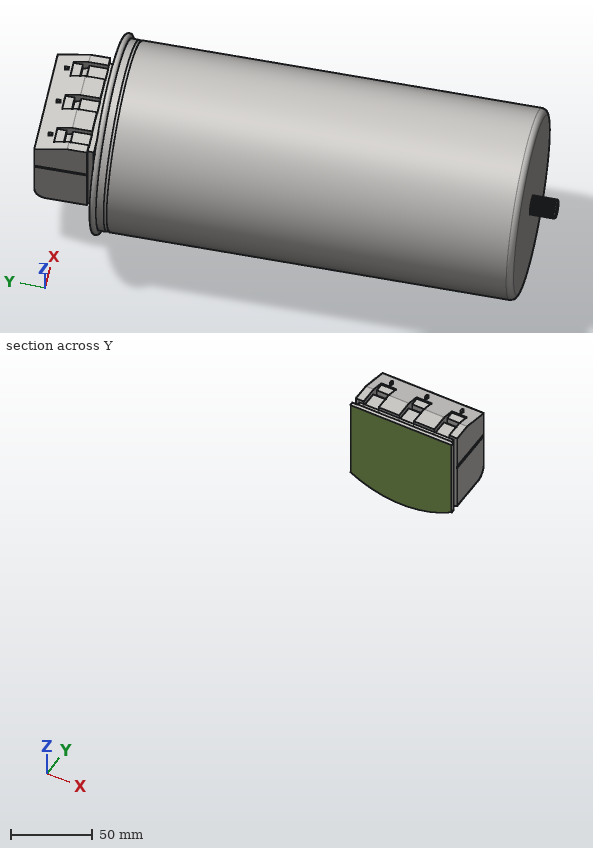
import cadquery as cq
import math


CAN_DIAMETER = 120.0
CAN_LENGTH = 265.0
BOTTOM_FILLET = 4.0
RIM_DIAMETER = 126.0
RIM_THICKNESS = 4.0
GROOVE_WIDTH = 2.0
GROOVE_DEPTH = 1.0
GROOVE_TO_RIM = 4.8

STUD_LENGTH = 16.0
THREAD_DIAMETER = 12.2
ROOT_DIAMETER = 10.3
THREAD_TURNS = 17
TIP_TAPER = 1.0

OVERALL_LENGTH = 321.0
BLOCK_WIDTH = 72.0
BLOCK_TOP = 29.0
SIDE_BOTTOM = -28.5
BLOCK_BOTTOM = -39.0
FLANGE_HEIGHT = 2.5
NECK_HEIGHT = 4.2
NECK_SIDE_INSET = 2.5
NECK_TOP_INSET = 2.2
SLOPE_LENGTH = 20.5
SLOPE_DROP = 5.8
CAP_FILLET = 7.0
SIDE_GROOVE_WIDTH = 1.0
SIDE_GROOVE_DEPTH = 0.3
SIDE_GROOVE_Z = 4.2
BOTTOM_GROOVE_WIDTH = 1.5
BOTTOM_GROOVE_X = 13.8
BOTTOM_GROOVE_FLOOR = -37.0

WINDOW_COUNT = 3
WINDOW_PITCH = 25.0
WINDOW_WIDTH = 10.5
WINDOW_TO_END = 11.2
WINDOW_FLOOR = 25.0
LEDGE_LENGTH = 5.8
CHANNEL_RADIUS = 4.2
PIP_WIDTH = 1.3
PIP_LENGTH = 2.5
PIP_TO_END = 6.7
PIP_TOP = 27.0

BLOCK_END = OVERALL_LENGTH - STUD_LENGTH
FLANGE_END = CAN_LENGTH + FLANGE_HEIGHT
CAP_START = FLANGE_END + NECK_HEIGHT
CAP_LENGTH = BLOCK_END - CAP_START


def y_slice(y):
    """Workplane at a given Y whose local axes are X and Z; a negative extrusion goes towards +Y."""
    return cq.Workplane("XZ", origin=(0, y, 0))


def make_can_shell():
    """Can with a rounded bottom edge, a bead groove and a rounded rim."""
    radius = CAN_DIAMETER / 2
    rim_radius = RIM_THICKNESS / 2
    rim_center = RIM_DIAMETER / 2 - rim_radius
    rim_start = CAN_LENGTH - RIM_THICKNESS
    groove_end = rim_start - GROOVE_TO_RIM
    groove_start = groove_end - GROOVE_WIDTH
    profile = (
        cq.Workplane("XY")
        .lineTo(radius - BOTTOM_FILLET, 0)
        .radiusArc((radius, BOTTOM_FILLET), -BOTTOM_FILLET)
        .lineTo(radius, groove_start)
        .threePointArc((radius - GROOVE_DEPTH, groove_start + GROOVE_WIDTH / 2), (radius, groove_end))
        .lineTo(radius, rim_start)
        .lineTo(rim_center, rim_start)
        .threePointArc((RIM_DIAMETER / 2, rim_start + rim_radius), (rim_center, CAN_LENGTH))
        .lineTo(0, CAN_LENGTH)
        .close()
    )
    return profile.revolve(360, (0, 0, 0), (0, 1, 0))


def make_stud():
    """Threaded stud, its thread a stack of V-shaped rings ending in a tapered tip."""
    crest = THREAD_DIAMETER / 2
    root = ROOT_DIAMETER / 2
    pitch = (STUD_LENGTH - TIP_TAPER) / THREAD_TURNS
    profile = cq.Workplane("XY").lineTo(crest, 0)
    for turn in range(THREAD_TURNS):
        crest_y = -(turn + 1) * pitch
        profile = profile.lineTo(root, crest_y + pitch / 2).lineTo(crest, crest_y)
    profile = profile.lineTo(root, -STUD_LENGTH).lineTo(0, -STUD_LENGTH).close()
    return profile.revolve(360, (0, 0, 0), (0, 1, 0))


def make_can():
    """Can body with its stud, a single solid."""
    return make_can_shell().union(make_stud())


def block_section(start, length, side_inset=0.0, top_inset=0.0):
    """Slice of the block: straight sides, flat top and an arched underside shared by all slices."""
    half = BLOCK_WIDTH / 2
    sag = SIDE_BOTTOM - BLOCK_BOTTOM
    arch_radius = (half**2 + sag**2) / (2 * sag)
    x = half - side_inset
    corner_z = BLOCK_BOTTOM + arch_radius - math.sqrt(arch_radius**2 - x**2)
    top = BLOCK_TOP - top_inset
    return (
        y_slice(start)
        .moveTo(-x, top)
        .lineTo(x, top)
        .lineTo(x, corner_z)
        .radiusArc((0, BLOCK_BOTTOM), arch_radius)
        .radiusArc((-x, corner_z), arch_radius)
        .close()
        .extrude(-length)
    )


def make_slope_cut():
    """Wedge removed above the sloping end of the cap's top."""
    return (
        cq.Workplane("YZ")
        .moveTo(BLOCK_END - SLOPE_LENGTH, BLOCK_TOP)
        .lineTo(BLOCK_END, BLOCK_TOP - SLOPE_DROP)
        .lineTo(BLOCK_END, BLOCK_TOP)
        .close()
        .extrude(BLOCK_WIDTH / 2, both=True)
    )


def make_side_grooves():
    """Fine groove along each side of the cap."""
    return (
        y_slice(CAP_START)
        .pushPoints([(-BLOCK_WIDTH / 2, SIDE_GROOVE_Z), (BLOCK_WIDTH / 2, SIDE_GROOVE_Z)])
        .rect(2 * SIDE_GROOVE_DEPTH, SIDE_GROOVE_WIDTH)
        .extrude(-CAP_LENGTH)
    )


def make_bottom_grooves():
    """Fine groove along the arched underside, one on each side of the middle."""
    height = BOTTOM_GROOVE_FLOOR - BLOCK_BOTTOM
    middle_z = (BOTTOM_GROOVE_FLOOR + BLOCK_BOTTOM) / 2
    return (
        y_slice(CAP_START)
        .pushPoints([(-BOTTOM_GROOVE_X, middle_z), (BOTTOM_GROOVE_X, middle_z)])
        .rect(BOTTOM_GROOVE_WIDTH, height)
        .extrude(-CAP_LENGTH)
    )


def make_window_cut(x):
    """Recess with a flat floor and a quarter-round channel across it."""
    window_end = BLOCK_END - WINDOW_TO_END
    channel_end = window_end - LEDGE_LENGTH
    channel_start = channel_end - CHANNEL_RADIUS
    return (
        cq.Workplane("YZ", origin=(x, 0, 0))
        .moveTo(CAP_START, BLOCK_TOP)
        .lineTo(CAP_START, WINDOW_FLOOR)
        .lineTo(channel_start, WINDOW_FLOOR)
        .radiusArc((channel_end, WINDOW_FLOOR - CHANNEL_RADIUS), -CHANNEL_RADIUS)
        .lineTo(channel_end, WINDOW_FLOOR)
        .lineTo(window_end, WINDOW_FLOOR)
        .lineTo(window_end, BLOCK_TOP)
        .close()
        .extrude(WINDOW_WIDTH / 2, both=True)
    )


def make_pip(x):
    """Small raised bar on the slope beside a window."""
    base_z = BLOCK_TOP - SLOPE_DROP
    base = cq.Workplane("XY", origin=(x, BLOCK_END - PIP_TO_END - PIP_LENGTH / 2, base_z))
    return base.rect(PIP_WIDTH, PIP_LENGTH).extrude(PIP_TOP - base_z)


def make_terminal_block():
    """Cap with windows, standing on a narrower neck and a flange that rests on the lid."""
    cap = block_section(CAP_START, CAP_LENGTH)
    cap = cap.faces(">Y").edges("<Z").fillet(CAP_FILLET)
    cap = cap.cut(make_slope_cut()).cut(make_side_grooves()).cut(make_bottom_grooves())
    for index in range(WINDOW_COUNT):
        x = (index - (WINDOW_COUNT - 1) / 2) * WINDOW_PITCH
        cap = cap.cut(make_window_cut(x)).union(make_pip(x))
    neck = block_section(FLANGE_END, NECK_HEIGHT, NECK_SIDE_INSET, NECK_TOP_INSET)
    flange = block_section(CAN_LENGTH, FLANGE_HEIGHT)
    return flange.union(neck).union(cap)


can = make_can()
terminal_block = make_terminal_block()
result = cq.Compound.makeCompound([can.val(), terminal_block.val()])